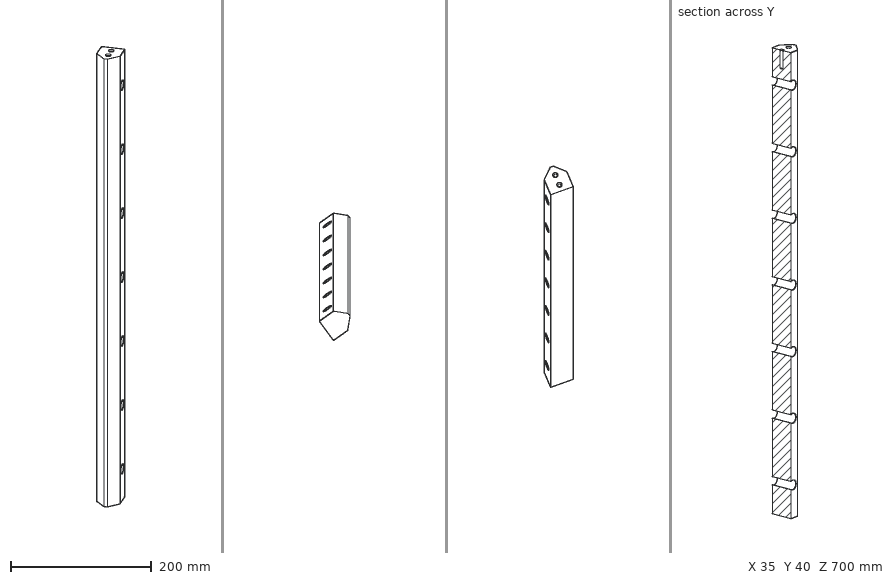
import cadquery as cq

length = 700.0
width = 35.0
depth = 40.0
nose_width = 5.0
back_y = depth / 2
nose_y = -depth / 2
shoulder_y = nose_y + (width - nose_width) / 2

cross_hole_count = 7
cross_hole_pitch = length / cross_hole_count
cross_hole_diameter = 14.0
cross_hole_from_back = 14.0

side_chamfer = 0.55

end_hole_diameter = 4.55
end_hole_mouth_diameter = 8.0
end_hole_depth = 28.0
end_hole_offsets_from_back = (10.0, 26.0)


def make_bar():
    outline = [
        (-width / 2, back_y),
        (width / 2, back_y),
        (width / 2, shoulder_y),
        (nose_width / 2, nose_y),
        (-nose_width / 2, nose_y),
        (-width / 2, shoulder_y),
    ]
    return cq.Workplane("XY").polyline(outline).close().extrude(length)


def make_cross_holes():
    hole_y = back_y - cross_hole_from_back
    centres = [
        (hole_y, (index + 0.5) * cross_hole_pitch)
        for index in range(cross_hole_count)
    ]
    return (
        cq.Workplane("YZ")
        .pushPoints(centres)
        .circle(cross_hole_diameter / 2)
        .extrude(width / 2, both=True)
    )


def chamfer_side_faces(body):
    for side in ("<X", ">X"):
        body = body.faces(side).edges().chamfer(side_chamfer)
    return body


def make_end_holes():
    centres = [(0, back_y - offset) for offset in end_hole_offsets_from_back]
    countersink_depth = (end_hole_mouth_diameter - end_hole_diameter) / 2
    holes = (
        cq.Workplane("XY", origin=(0, 0, length))
        .pushPoints(centres)
        .circle(end_hole_diameter / 2)
        .extrude(-end_hole_depth)
    )
    countersinks = (
        cq.Workplane("XY", origin=(0, 0, length))
        .pushPoints(centres)
        .circle(end_hole_mouth_diameter / 2)
        .extrude(-countersink_depth, taper=45)
    )
    return holes.union(countersinks)


drilled_bar = make_bar().cut(make_cross_holes())
result = chamfer_side_faces(drilled_bar).cut(make_end_holes())